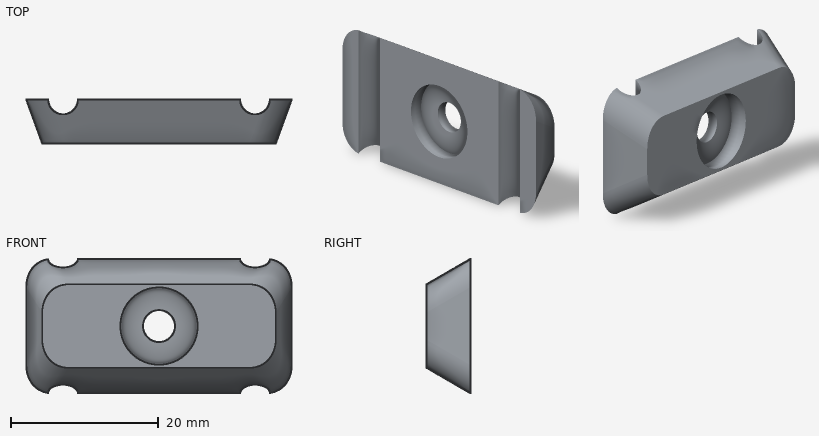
import cadquery as cq
import math

back_length = 36.0
back_height = 18.23
thickness = 6.0

end_wall_angle = 20.0
long_wall_angle = 30.0
corner_radius = 4.0

hole_diameter = 4.3
counterbore_diameter = 10.5
counterbore_depth = 2.5
back_recess_diameter = counterbore_diameter
back_recess_depth = 2.0

groove_radius = 2.0
groove_offset = 13.0

front_length = back_length - 2 * thickness * math.tan(math.radians(end_wall_angle))
front_height = back_height - 2 * thickness * math.tan(math.radians(long_wall_angle))


def tapered_body():
    """Block narrowing toward -Y, with its four sloping corner edges rounded."""
    end_inset = (back_length - front_length) / 2
    long_inset = (back_height - front_height) / 2
    block = cq.Workplane("XY").add(
        cq.Solid.makeWedge(
            back_length,
            thickness,
            back_height,
            end_inset,
            long_inset,
            back_length - end_inset,
            back_height - long_inset,
        )
        .rotate(cq.Vector(0, 0, 0), cq.Vector(1, 0, 0), 180)
        .translate(cq.Vector(-back_length / 2, 0, back_height / 2))
    )
    corner_edges = block.edges("not(<Y or >Y)")
    return corner_edges.fillet(corner_radius)


def screw_hole():
    """Through hole, front counterbore and back recess along Y, as a solid to remove."""
    through = cq.Workplane("XZ").circle(hole_diameter / 2).extrude(thickness)
    counterbore = (
        cq.Workplane("XZ", origin=(0, -thickness, 0))
        .circle(counterbore_diameter / 2)
        .extrude(-counterbore_depth)
    )
    back_recess = cq.Workplane("XZ").circle(back_recess_diameter / 2).extrude(back_recess_depth)
    return through.union(counterbore).union(back_recess)


def back_grooves():
    """Two round bars along Z, centred on the back face, as solids to remove."""
    return (
        cq.Workplane("XY")
        .pushPoints([(-groove_offset, 0), (groove_offset, 0)])
        .circle(groove_radius)
        .extrude(back_height / 2, both=True)
    )


result = tapered_body().cut(screw_hole()).cut(back_grooves())